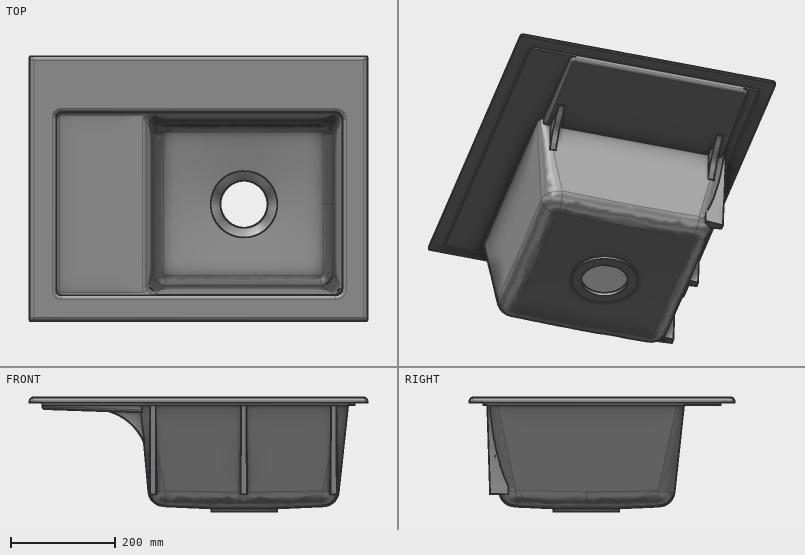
import cadquery as cq

RIM_LENGTH = 650.28
RIM_WIDTH = 510.1
RIM_THICKNESS = 10.0
RIM_EDGE_RADIUS = 8.0
RIM_CORNER_RADIUS = 4.0
PLATE_LENGTH = 601.0
PLATE_WIDTH = 457.0
PLATE_THICKNESS = 5.0
OVERALL_HEIGHT = 220.0

DRAIN_X = 87.5
DRAIN_Y = -30.0
DRAIN_DIAMETER = 90.0
SEAT_DIAMETER = 128.0
SEAT_DEPTH = 11.0
BOSS_DIAMETER = 127.0

BASIN_Y = -29.0
CAVITY_LEFT = -103.0
CAVITY_RIGHT = 277.0
CAVITY_WIDTH = 352.0
LEFT_DRAFT = 0.09
WALL_DRAFT = 0.108
WALL_THICKNESS = 12.5
LEFT_WALL_THICKNESS = 10.0
TOP_CORNER_RADIUS = 14.0
CAVITY_CORNER_RADIUS = 26.0
SHELL_CORNER_RADIUS = 38.0
WALL_END_Z = -230.0

FLOOR_SLOPE = 0.045
FLOOR_APEX_Z = -203.5
FLOOR_THICKNESS = 13.0
CAVITY_FLOOR_FILLET = 20.0
SHELL_FLOOR_FILLET = 32.0
CONE_RADIUS = 400.0

MOUTH_DEPTH = 8.5
BOARD_LEFT = -274.0
BOARD_DEPTH = 15.0
BOARD_FILLET = 6.0
BOARD_CORNER_RADIUS = 10.0
OPENING_FILLET = 7.5
CREASE_FILLET = 7.0

BOARD_SHELL_LEFT = -PLATE_LENGTH / 2
BOARD_SHELL_Y = -30.0
BOARD_SHELL_WIDTH = 356.0
BOARD_SHELL_LEFT_Z = -22.5
BOARD_SHELL_RIGHT_Z = -30.0
BOARD_SHELL_FILLET = 6.0

BOWL_OVERLAP_X = -80.0

GUSSET_YS = (128.0, -188.0)
GUSSET_THICKNESS = 12.0
GUSSET_LEFT = -172.0
GUSSET_TOP = -27.0
GUSSET_BOTTOM = -86.0
GUSSET_SAGITTA = 10.0

RIB_XS = (-87.5, 87.0, 260.0)
RIB_TIP_WIDTH = 10.0
RIB_ROOT_WIDTH = 17.0
RIB_ROOT_Y = -180.0
RIB_TOP_Y = -221.0
RIB_BOTTOM_Y = -215.5
RIB_BOTTOM_Z = -186.0


def block(left, right, width, center_y, top_z, bottom_z):
    """Plain block between two X limits and two heights."""
    return (
        cq.Workplane("XY", origin=((left + right) / 2, center_y, bottom_z))
        .rect(right - left, width)
        .extrude(top_z - bottom_z)
    )


def bowl_outline(offset, left_offset, z, radius):
    """Rounded rectangle of the drafted bowl walls at height z, grown by the offsets."""
    left = CAVITY_LEFT - left_offset - LEFT_DRAFT * z
    right = CAVITY_RIGHT + offset + WALL_DRAFT * z
    width = CAVITY_WIDTH + 2 * (offset + WALL_DRAFT * z)
    slab_height = 1.0
    slab = block(left, right, width, BASIN_Y, z + slab_height, z)
    return slab.edges("|Z").fillet(radius).faces("<Z").val().outerWire()


def tapered_bowl(offset, left_offset, apex_z, corner_radius, floor_fillet):
    """Solid bowl with drafted walls, corners that widen downwards and a rounded conical floor."""
    top_z = -MOUTH_DEPTH
    upper = bowl_outline(offset, left_offset, top_z, TOP_CORNER_RADIUS)
    lower = bowl_outline(offset, left_offset, WALL_END_Z, corner_radius)
    walls = cq.Workplane(obj=cq.Solid.makeLoft([upper, lower], True))
    cone_edge_z = apex_z + FLOOR_SLOPE * CONE_RADIUS
    above_floor = (
        cq.Workplane("XZ", origin=(DRAIN_X, DRAIN_Y, 0))
        .polyline([(0, apex_z), (CONE_RADIUS, cone_edge_z), (CONE_RADIUS, top_z), (0, top_z)])
        .close()
        .revolve(360, (0, 0, 0), (0, 1, 0))
    )
    return walls.intersect(above_floor).faces("%CONE").edges().fillet(floor_fillet)


def make_rim():
    """Slab with a rounded upper edge and a smaller plate beneath it."""
    slab = block(-RIM_LENGTH / 2, RIM_LENGTH / 2, RIM_WIDTH, 0, 0, -RIM_THICKNESS)
    slab = slab.edges("|Z").fillet(RIM_CORNER_RADIUS)
    slab = slab.faces(">Z").edges().fillet(RIM_EDGE_RADIUS)
    plate_bottom = -RIM_THICKNESS - PLATE_THICKNESS
    plate = block(-PLATE_LENGTH / 2, PLATE_LENGTH / 2, PLATE_WIDTH, 0, -RIM_THICKNESS, plate_bottom)
    return slab.union(plate)


def make_bowl_shell():
    """Outside of the bowl, still solid."""
    apex_z = FLOOR_APEX_Z - FLOOR_THICKNESS
    return tapered_bowl(WALL_THICKNESS, LEFT_WALL_THICKNESS, apex_z, SHELL_CORNER_RADIUS, SHELL_FLOOR_FILLET)


def make_board_shell():
    """Material under the drainboard, with a bottom that falls gently towards the bowl."""
    profile = [
        (BOARD_SHELL_LEFT, -RIM_THICKNESS),
        (BOARD_SHELL_LEFT, BOARD_SHELL_LEFT_Z),
        (BOWL_OVERLAP_X, BOARD_SHELL_RIGHT_Z),
        (BOWL_OVERLAP_X, -RIM_THICKNESS),
    ]
    shell = (
        cq.Workplane("XZ", origin=(0, BOARD_SHELL_Y, 0))
        .polyline(profile)
        .close()
        .extrude(BOARD_SHELL_WIDTH / 2, both=True)
    )
    shell = shell.edges("|Z and <X").fillet(BOARD_CORNER_RADIUS)
    return shell.faces("<Z").edges("not >X").fillet(BOARD_SHELL_FILLET)


def make_gusset(y):
    """Curved web between the drainboard and the left wall of the bowl."""
    wall_x = CAVITY_LEFT - LEFT_WALL_THICKNESS - LEFT_DRAFT * GUSSET_BOTTOM
    return (
        cq.Workplane("XZ", origin=(0, y, 0))
        .moveTo(GUSSET_LEFT, GUSSET_TOP)
        .sagittaArc((wall_x, GUSSET_BOTTOM), GUSSET_SAGITTA)
        .lineTo(BOWL_OVERLAP_X, GUSSET_BOTTOM)
        .lineTo(BOWL_OVERLAP_X, GUSSET_TOP)
        .close()
        .extrude(GUSSET_THICKNESS / 2, both=True)
    )


def make_rib(x):
    """Upright rib on the -Y wall, narrower at its tip and leaning in towards the bottom."""
    half_root = RIB_ROOT_WIDTH / 2
    half_tip = RIB_TIP_WIDTH / 2
    section = [
        (-half_root, RIB_ROOT_Y),
        (half_root, RIB_ROOT_Y),
        (half_tip, RIB_TOP_Y),
        (-half_tip, RIB_TOP_Y),
    ]
    rib = (
        cq.Workplane("XY", origin=(x, 0, RIB_BOTTOM_Z))
        .polyline(section)
        .close()
        .extrude(-RIM_THICKNESS - RIB_BOTTOM_Z)
    )
    lean = [(RIB_TOP_Y, -RIM_THICKNESS), (RIB_BOTTOM_Y, RIB_BOTTOM_Z), (RIB_TOP_Y, RIB_BOTTOM_Z)]
    wedge = (
        cq.Workplane("YZ", origin=(x, 0, 0))
        .polyline(lean)
        .close()
        .extrude(half_root, both=True)
    )
    return rib.cut(wedge)


def make_boss():
    """Short round boss around the drain."""
    return (
        cq.Workplane("XY", origin=(DRAIN_X, DRAIN_Y, -OVERALL_HEIGHT))
        .circle(BOSS_DIAMETER / 2)
        .extrude(OVERALL_HEIGHT + FLOOR_APEX_Z)
    )


def make_bowl_cavity():
    """Inside of the bowl."""
    return tapered_bowl(0, 0, FLOOR_APEX_Z, CAVITY_CORNER_RADIUS, CAVITY_FLOOR_FILLET)


def make_mouth():
    """Shallow upright opening over the bowl and the drainboard together."""
    mouth = block(BOARD_LEFT, CAVITY_RIGHT, CAVITY_WIDTH, BASIN_Y, 0, -MOUTH_DEPTH)
    mouth = mouth.edges("|Z and <X").fillet(BOARD_CORNER_RADIUS)
    return mouth.edges("|Z and >X").fillet(TOP_CORNER_RADIUS)


def make_board_pocket():
    """Drainboard pocket with a rounded floor edge, open to the bowl."""
    pocket = block(BOARD_LEFT, BOWL_OVERLAP_X, CAVITY_WIDTH, BASIN_Y, 0, -BOARD_DEPTH)
    pocket = pocket.edges("|Z and <X").fillet(BOARD_CORNER_RADIUS)
    return pocket.faces("<Z").edges("not >X").fillet(BOARD_FILLET)


def make_drain():
    """Through hole below a conical seat for the strainer."""
    seat_radius = SEAT_DIAMETER / 2
    hole_radius = DRAIN_DIAMETER / 2
    seat_top = FLOOR_APEX_Z + FLOOR_SLOPE * seat_radius
    profile = [
        (0, -OVERALL_HEIGHT),
        (hole_radius, -OVERALL_HEIGHT),
        (hole_radius, seat_top - SEAT_DEPTH),
        (seat_radius, seat_top),
        (0, seat_top),
    ]
    return (
        cq.Workplane("XZ", origin=(DRAIN_X, DRAIN_Y, 0))
        .polyline(profile)
        .close()
        .revolve(360, (0, 0, 0), (0, 1, 0))
    )


def round_opening(body):
    """Round the upper edge of the basin opening."""
    opening_edges = body.faces(">Z").val().innerWires()[0].Edges()
    return body.newObject(opening_edges).fillet(OPENING_FILLET)


def round_crease(body):
    """Round the edge where the drainboard floor drops into the bowl."""
    tolerance = 0.1
    crease_reach = CREASE_FILLET + TOP_CORNER_RADIUS
    crease_box = cq.selectors.BoxSelector(
        (CAVITY_LEFT - crease_reach, BASIN_Y - CAVITY_WIDTH / 2, -BOARD_DEPTH - tolerance),
        (CAVITY_LEFT + crease_reach, BASIN_Y + CAVITY_WIDTH / 2, -BOARD_DEPTH + tolerance),
    )
    return body.edges(crease_box).fillet(CREASE_FILLET)


sink = make_rim().union(make_bowl_shell()).union(make_board_shell()).union(make_boss())
for gusset_y in GUSSET_YS:
    sink = sink.union(make_gusset(gusset_y))
for rib_x in RIB_XS:
    sink = sink.union(make_rib(rib_x))

sink = sink.cut(make_bowl_cavity()).cut(make_mouth()).cut(make_board_pocket()).cut(make_drain())

result = round_crease(round_opening(sink))